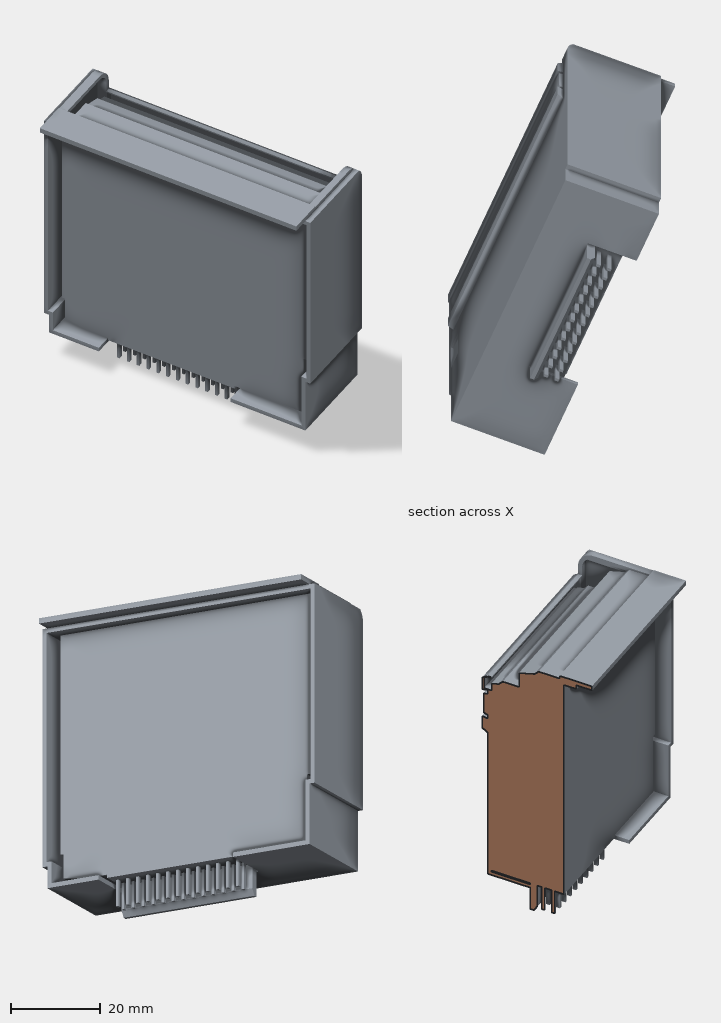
import cadquery as cq


wall = 1.05
case_half_width = 34.625
step_inset = 1.275
narrow_half_width = case_half_width - step_inset
case_depth = 22.6
shoulder_z = 61.0
cap_top_z = 62.0
left_step_z = 5.12
right_step_z = 14.2
back_corner_radius = 4.0
inner_back_y = case_depth - wall

opening_left = -31.25
opening_right = 31.75
back_wall_top_z = 55.6

flange_front_y = -3.93
flange_rear_y = 4.28
flange_top_z = 62.25

tongue_left = -19.85
tongue_right = 13.4
tongue_front_y = 9.86
tongue_rear_y = 11.76
tongue_tip_z = -5.96
tongue_bevel_width = 0.95
tongue_bevel_height = 1.5
slot_clearance = 0.5
pin_count = 13
pin_pitch = 2.54
first_pin_x = -18.48
pin_width = 0.64
pin_depth = 0.95
pin_tip_z = -4.97
pin_row_centres_y = (5.88, 8.47)

plate_half_width = 31.78
plate_front_y = 3.15
plate_rear_y = 4.75
plate_foot_half_width = 31.0
plate_left_step_z = 8.5
plate_right_step_z = 17.6
plate_bottom_z = 2.0
plate_tab_z = 1.23
plate_tab_right = 13.03
plate_corner_z = 2.85
plate_corner_x = -26.1
base_right = 29.3
ridge_left = -29.5
ridge_top_z = 61.5
base_top_z = 55.4
ridge_flat_end_y = 9.6
base_flat_end_y = 18.7
ledge_bevel = 1.05
ridge_rear_y = 14.6
slope_ratio = 0.29

bar_half_width = 32.06
bars_middle_z = 47.6
outer_bar_depth = 1.32
middle_bar_depth = 1.05
outer_bar_root_near = 3.95
outer_bar_tip_near = 3.65
outer_bar_tip_far = 7.1
outer_bar_root_far = 8.0
middle_bar_root = 3.0
middle_bar_tip = 2.75
pocket_half_width = 31.15
pocket_rear_y = 23.4
lip_thickness = 0.35

window_left = 29.3
window_right = 33.3
window_bottom_z = 24.4
window_top_z = 33.5
recess_bottom_z = 23.6
recess_top_z = 37.6
recess_depth = 0.5


def block(x0, x1, y0, y1, z0, z1):
    """Axis-aligned box between opposite corners."""
    return cq.Workplane("XY").box(x1 - x0, y1 - y0, z1 - z0, centered=False).translate((x0, y0, z0))


def across_x(profile_yz, x0, x1):
    """Sweep a closed Y-Z outline from x0 to x1."""
    return cq.Workplane("YZ").polyline(profile_yz).close().extrude(x1 - x0).translate((x0, 0, 0))


def stepped_prism(inset, depth, corner_radius):
    """Case outline moved inward by inset, run back to depth, with its upper back corner rounded."""
    wide = case_half_width - inset
    narrow = narrow_half_width - inset
    top_z = cap_top_z - inset
    waist = block(-narrow, narrow, 0, depth, inset, top_z)
    left = block(-wide, 0, 0, depth, left_step_z + inset, shoulder_z - inset)
    right = block(0, wide, 0, depth, right_step_z + inset, shoulder_z - inset)
    envelope = block(-wide, wide, 0, depth, inset, top_z).edges(">Y and >Z").fillet(corner_radius)
    return waist.union(left).union(right).intersect(envelope)


def make_case():
    shell = stepped_prism(0, case_depth, back_corner_radius)
    shell = shell.cut(stepped_prism(wall, inner_back_y, back_corner_radius - wall))
    opening = block(opening_left, opening_right, 0, case_depth, back_wall_top_z, cap_top_z)
    slot = block(
        tongue_left - slot_clearance, tongue_right + slot_clearance,
        0, tongue_rear_y, 0, wall,
    )
    window = block(window_left, window_right, inner_back_y, case_depth, window_bottom_z, window_top_z)
    recess = block(
        window_left, case_half_width - wall,
        inner_back_y, inner_back_y + recess_depth, recess_bottom_z, recess_top_z,
    )
    return shell.cut(opening).cut(slot).cut(window).cut(recess)


def make_flange():
    flange = block(
        -narrow_half_width, narrow_half_width, flange_front_y, flange_rear_y, shoulder_z, flange_top_z
    )
    front_rail = block(
        wall - case_half_width, case_half_width - wall, 0, flange_rear_y, shoulder_z - wall, shoulder_z
    )
    return flange.union(front_rail)


def plate_prism(rear_y):
    """Front plate outline, run from the plate face back to rear_y."""
    outline = (
        cq.Workplane("XZ")
        .moveTo(-plate_half_width, shoulder_z)
        .lineTo(-plate_half_width, plate_left_step_z)
        .lineTo(-plate_foot_half_width, plate_left_step_z)
        .lineTo(-plate_foot_half_width, plate_corner_z)
        .lineTo(plate_corner_x, plate_bottom_z)
        .lineTo(tongue_left, plate_bottom_z)
        .lineTo(tongue_left, plate_tab_z)
        .lineTo(plate_tab_right, plate_tab_z)
        .lineTo(plate_tab_right, plate_bottom_z)
        .lineTo(plate_foot_half_width, plate_bottom_z)
        .lineTo(plate_foot_half_width, plate_right_step_z)
        .lineTo(plate_half_width, plate_right_step_z)
        .lineTo(plate_half_width, shoulder_z)
        .close()
    )
    return outline.extrude(plate_front_y - rear_y).translate((0, plate_front_y, 0))


def ledge_profile(flat_end_y, rear_y, top_z):
    """Y-Z outline with a flat top, a 45 degree bevel and a gently falling ledge."""
    ledge_y = flat_end_y + ledge_bevel
    ledge_z = top_z - ledge_bevel
    rear_z = ledge_z - slope_ratio * (rear_y - ledge_y)
    return [
        (plate_front_y, plate_tab_z),
        (plate_front_y, top_z),
        (flat_end_y, top_z),
        (ledge_y, ledge_z),
        (rear_y, rear_z),
        (rear_y, plate_tab_z),
    ]


def make_module():
    plate = plate_prism(plate_rear_y)
    base = across_x(
        ledge_profile(base_flat_end_y, inner_back_y, base_top_z), -plate_half_width, base_right
    )
    base = base.intersect(plate_prism(inner_back_y))
    ridge = across_x(
        ledge_profile(ridge_flat_end_y, ridge_rear_y, ridge_top_z), ridge_left, opening_right
    )
    ridge_body = ridge.intersect(plate_prism(ridge_rear_y))
    ridge_crest = ridge.intersect(
        block(ridge_left, opening_right, plate_front_y, ridge_rear_y, base_top_z, ridge_top_z)
    )
    return plate.union(base).union(ridge_body).union(ridge_crest)


def make_connector():
    tongue = across_x(
        [
            (tongue_front_y, plate_bottom_z),
            (tongue_front_y, tongue_tip_z + tongue_bevel_height),
            (tongue_front_y + tongue_bevel_width, tongue_tip_z),
            (tongue_rear_y, tongue_tip_z),
            (tongue_rear_y, plate_bottom_z),
        ],
        tongue_left,
        tongue_right,
    )
    for row_y in pin_row_centres_y:
        for index in range(pin_count):
            x = first_pin_x + index * pin_pitch
            tongue = tongue.union(
                block(
                    x - pin_width / 2, x + pin_width / 2,
                    row_y - pin_depth / 2, row_y + pin_depth / 2,
                    pin_tip_z, plate_bottom_z,
                )
            )
    return tongue


def bar(depth, root_low, tip_low, tip_high, root_high):
    """Tapered bar on the back wall; heights are measured from the middle line of the bars."""
    tip_y = case_depth + depth
    profile = [
        (inner_back_y, bars_middle_z + root_low),
        (case_depth, bars_middle_z + root_low),
        (tip_y, bars_middle_z + tip_low),
        (tip_y, bars_middle_z + tip_high),
        (case_depth, bars_middle_z + root_high),
        (inner_back_y, bars_middle_z + root_high),
    ]
    return across_x(profile, -bar_half_width, bar_half_width)


def make_bars():
    """Three bars across the back wall, mirrored about the middle one."""
    upper = bar(
        outer_bar_depth, outer_bar_root_near, outer_bar_tip_near, outer_bar_tip_far, outer_bar_root_far
    )
    lower = bar(
        outer_bar_depth, -outer_bar_root_far, -outer_bar_tip_far, -outer_bar_tip_near, -outer_bar_root_near
    )
    middle = bar(middle_bar_depth, -middle_bar_root, -middle_bar_tip, middle_bar_tip, middle_bar_root)
    return upper.union(middle).union(lower)


def make_upper_bar_pocket():
    """Hollow of the upper bar, open toward the inside and closed above by a thin lip."""
    floor_z = bars_middle_z + outer_bar_root_near + lip_thickness
    lip_z = back_wall_top_z - lip_thickness
    bevel_slope = (outer_bar_root_far - outer_bar_tip_far) / outer_bar_depth
    rear_z = lip_z - bevel_slope * (pocket_rear_y - case_depth)
    profile = [
        (inner_back_y, floor_z),
        (inner_back_y, lip_z),
        (case_depth, lip_z),
        (pocket_rear_y, rear_z),
        (pocket_rear_y, floor_z),
    ]
    return across_x(profile, -pocket_half_width, pocket_half_width)


enclosure = make_case().union(make_flange()).union(make_bars()).cut(make_upper_bar_pocket())
result = enclosure.union(make_module()).union(make_connector())